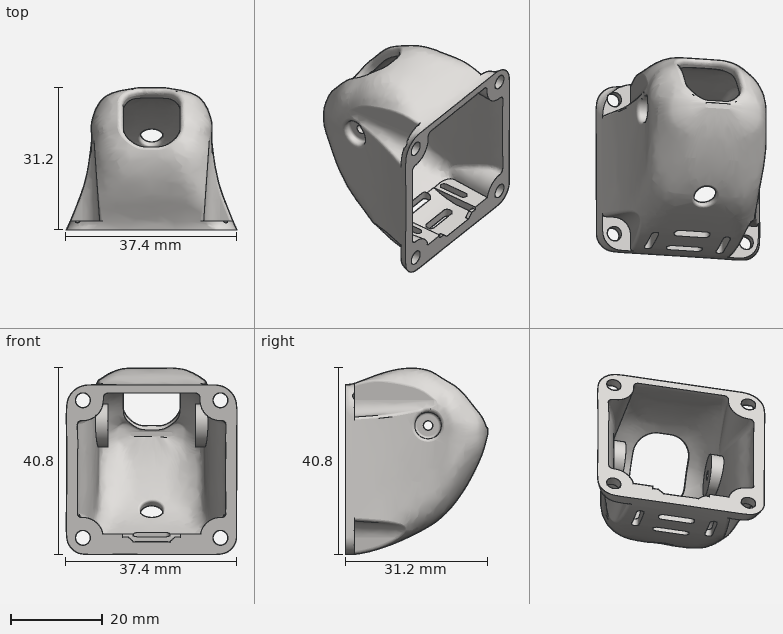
import cadquery as cq
import math

flange_half_width = 18.6
flange_bottom = 0.1
flange_height = 37.13
flange_thickness = 2.0
screw_spacing = 30.03
screw_diameter = 3.2
screw_x = screw_spacing / 2
mid_height = 18.73

shell_reach = 44.9
wall = 1.55
roof_extra_wall = 0.25
side_opening_half_width = 16.15
shelf_height = 4.55

hood_sections = [
    (0, flange_half_width, flange_bottom, flange_height, 4.1, 4.9),
    (flange_thickness, 17.7, 0.1, 37.4, 4.1, 7.35),
    (5.7, 16.2, 0.8, 38.85, 4.5, 8.15),
    (10.6, 14.52, 2.45, 40.35, 4.9, 8.98),
    (15.5, 13.6, 4.7, 40.75, 5.7, 8.98),
    (20.4, 13.1, 7.65, 39.37, 6.95, 8.98),
    (24.5, 12.9, 12.05, 37.13, 9.4, 8.98),
    (27.35, 11.75, 16.52, 34.25, 8.55, 8.15),
    (29.38, 9.8, 20.73, 31, 4.9, 4.5),
    (30.6, 6.1, 24.28, 28.55, 2.05, 1.85),
    (31.15, 2.85, 26.3, 27.55, 0.4, 0.4),
]
cavity_section_count = 10
cavity_least_radius = 0.4

corner_steps = 4
side_steps = 5

channel_radius_front = 3.8
channel_radius_back = 2.2
channel_wall = 0.65
channel_end = 22.85
channel_reach = 16.3
channel_rim = 0.65
channel_boss_fillet = 1.05
channel_edge_x = 11.55
boss_edge_x = 10.2

pivot_y = 18.07
pivot_z = 28.25
pivot_hole_diameter = 2.0
pivot_recess_diameter = 5.8
pivot_boss_diameter = 9.4
pivot_boss_face = 9.55
pivot_recess_floor = 11.2
pivot_rim_reach = 3.25
pivot_rim_inner = 12.65
pivot_cut_end = 20.4
pivot_rim_fillet = 0.75
pivot_floor_fillet = 0.57

window_width = 12.4
window_length = 15.9
window_corner = 4.9
window_y = 24.3
window_z = 34.03
window_tilt = 45
window_depth = 10.2
window_rim = 0.95
window_rim_margin = 0.4
window_rim_front = 16.3
window_rim_back = 31
window_rim_low = 27.35

drain_diameter = 4.98
drain_y = 21.2
drain_z = 8.9
drain_rim = 0.5
drain_reach = 3.25
drain_cut = 4.9

recess_half_width = 6.32
recess_floor = 2.77
recess_top = shelf_height + 1.22
recess_flat_end = 5.3
recess_mid_y = 8.55
recess_mid_height = 3.43
recess_end = 11.42
lip_depth = 0.8
lip_floor_half_width = 3.88
lip_step_half_width = 5.1
lip_step_height = 3.88
slot_length = 8.08
slot_width = 2.0
cross_slot_depths = (5.1, 11)
side_slot_x = 8.15
side_slot_y = 7.35
side_slot_length = 6.95
side_slot_width = 1.65
slot_cut_height = 8.15


def arc_points(x, z, radius, start_angle):
    """Points along a quarter circle around (x, z)."""
    angles = [math.radians(start_angle + 90 * step / corner_steps) for step in range(corner_steps + 1)]
    return [(x + radius * math.cos(angle), z + radius * math.sin(angle)) for angle in angles]


def between(start, end):
    """Points inside a straight stretch, both ends left out."""
    fractions = [step / side_steps for step in range(1, side_steps)]
    return [tuple(a + (b - a) * f for a, b in zip(start, end)) for f in fractions]


def rounded_section(depth, half_width, bottom, top, bottom_radius, top_radius):
    """Smooth closed wire in the plane Y = depth: a rectangle with rounded corners."""
    low_arc = arc_points(half_width - bottom_radius, bottom + bottom_radius, bottom_radius, -90)
    high_arc = arc_points(half_width - top_radius, top - top_radius, top_radius, 0)
    bottom_middle = (0, bottom)
    top_middle = (0, top)
    right_half = between(bottom_middle, low_arc[0]) + low_arc + between(low_arc[-1], high_arc[0])
    right_half += high_arc + between(high_arc[-1], top_middle)
    left_half = [(-x, z) for x, z in reversed(right_half)]
    points = [bottom_middle] + right_half + [top_middle] + left_half
    plane = cq.Plane(origin=(0, depth, 0), xDir=(1, 0, 0), normal=(0, -1, 0))
    return cq.Workplane(plane).spline(points, periodic=True).wire().val()


def loft(wires):
    return cq.Workplane(cq.Solid.makeLoft(wires))


def make_hood():
    return loft([rounded_section(*section) for section in hood_sections])


def make_cavity():
    depth_scale = 1 - wall / hood_sections[-1][0]
    wires = []
    for depth, half_width, bottom, top, bottom_radius, top_radius in hood_sections[:cavity_section_count]:
        inner = min(half_width - wall, side_opening_half_width)
        inner_b = max(bottom_radius - wall, cavity_least_radius)
        inner_t = max(top_radius - wall, cavity_least_radius)
        inner_top = top - wall - roof_extra_wall
        wires.append(rounded_section(depth * depth_scale, inner, bottom + wall, inner_top, inner_b, inner_t))
    block = cq.Workplane(origin=(0, 0, shelf_height))
    above_shelf = block.box(2 * shell_reach, 2 * shell_reach, shell_reach, centered=(True, True, False))
    return loft(wires).intersect(above_shelf)


def corner_prism(start, extra_radius=0):
    """Tapered prism around the +X, +Z screw axis, open towards the outside corner."""
    taper = (channel_radius_front - channel_radius_back) / channel_end
    wires = []
    for depth in (start, channel_end):
        r = channel_radius_front - taper * depth + extra_radius
        diagonal = r * math.sqrt(0.5)
        plane = cq.Plane(origin=(screw_x, depth, screw_x), xDir=(1, 0, 0), normal=(0, -1, 0))
        wires.append(
            cq.Workplane(plane)
            .moveTo(-r, 0)
            .threePointArc((-diagonal, -diagonal), (0, -r))
            .lineTo(channel_reach, -r)
            .lineTo(channel_reach, channel_reach)
            .lineTo(-r, channel_reach)
            .close()
            .wire()
            .val()
        )
    return loft(wires)


def at_four_corners(prism):
    pair = prism.union(prism.mirror("YZ"))
    return pair.union(pair.mirror("XY")).translate((0, 0, mid_height))


def x_cylinder(diameter, x_start, x_end):
    return (
        cq.Workplane("YZ", origin=(x_start, pivot_y, pivot_z))
        .circle(diameter / 2)
        .extrude(x_end - x_start)
    )


def both_sides(solid):
    return solid.union(solid.mirror("YZ"))


def make_window():
    tilt = math.radians(window_tilt)
    outward = cq.Vector(0, math.sin(tilt), math.cos(tilt))
    plane = cq.Plane(origin=(0, window_y, window_z), xDir=(1, 0, 0), normal=outward)
    block = (
        cq.Workplane(plane)
        .workplane(offset=-window_depth)
        .rect(window_width, window_length)
        .extrude(2 * window_depth)
    )
    return block.edges(cq.selectors.ParallelDirSelector(outward)).fillet(window_corner)


def make_floor_recess():
    pocket = (
        cq.Workplane("YZ", origin=(-recess_half_width, 0, 0))
        .moveTo(lip_depth, recess_top)
        .lineTo(lip_depth, recess_floor)
        .lineTo(recess_flat_end, recess_floor)
        .threePointArc((recess_mid_y, recess_mid_height), (recess_end, shelf_height))
        .lineTo(recess_end, recess_top)
        .close()
        .extrude(2 * recess_half_width)
    )
    lip = (
        cq.Workplane("XZ")
        .moveTo(-recess_half_width, shelf_height)
        .lineTo(-recess_half_width, lip_step_height)
        .lineTo(-lip_step_half_width, lip_step_height)
        .lineTo(-lip_floor_half_width, recess_floor)
        .lineTo(lip_floor_half_width, recess_floor)
        .lineTo(lip_step_half_width, lip_step_height)
        .lineTo(recess_half_width, lip_step_height)
        .lineTo(recess_half_width, shelf_height)
        .close()
        .extrude(-lip_depth)
    )
    return pocket.union(lip)


def make_tie_slots():
    cross = cq.Workplane().pushPoints([(0, y) for y in cross_slot_depths])
    cross = cross.slot2D(slot_length, slot_width).extrude(slot_cut_height)
    side = cq.Workplane().pushPoints([(x, side_slot_y) for x in (-side_slot_x, side_slot_x)])
    side = side.slot2D(side_slot_length, side_slot_width, 90).extrude(slot_cut_height)
    return cross.union(side)


def curved_edges(solid, low, high):
    """Curved edges lying completely inside the box from low to high."""
    box = cq.selectors.BoxSelector(low, high, boundingbox=True)
    return solid.edges(box).edges("%BSPLINE")


def corner_edges(solid, inner_x, front_y):
    """Curved edges centred outside inner_x on both sides, between front_y and the channel ends."""
    right = cq.selectors.BoxSelector((inner_x, front_y, -shell_reach), (shell_reach, channel_end, shell_reach))
    left = cq.selectors.BoxSelector((-inner_x, front_y, -shell_reach), (-shell_reach, channel_end, shell_reach))
    return solid.edges(right + left).edges("%BSPLINE")


def add_pivot_recesses(hood):
    recess = x_cylinder(pivot_recess_diameter, pivot_recess_floor, pivot_cut_end)
    recess = recess.faces("<X").edges().fillet(pivot_floor_fillet)
    hood = hood.cut(both_sides(recess))
    low_y, high_y = pivot_y - pivot_rim_reach, pivot_y + pivot_rim_reach
    low_z, high_z = pivot_z - pivot_rim_reach, pivot_z + pivot_rim_reach
    for x_start, x_end in ((pivot_rim_inner, pivot_cut_end), (-pivot_cut_end, -pivot_rim_inner)):
        rim = curved_edges(hood, (x_start, low_y, low_z), (x_end, high_y, high_z))
        hood = rim.fillet(pivot_rim_fillet)
    return hood


def add_channels(hood):
    hood = hood.cut(at_four_corners(corner_prism(flange_thickness)))
    return corner_edges(hood, channel_edge_x, flange_thickness + 0.4).fillet(channel_rim)


def add_window_rim(hood):
    half_width = window_width / 2 + window_rim_margin
    hood = hood.cut(make_window())
    low = (-half_width, window_rim_front, window_rim_low)
    high = (half_width, window_rim_back, shell_reach)
    rim = curved_edges(hood, low, high)
    return rim.fillet(window_rim)


def make_interior():
    interior = make_cavity().cut(at_four_corners(corner_prism(-0.4, channel_wall)))
    interior = corner_edges(interior, boss_edge_x, 0.4).fillet(channel_boss_fillet)
    return interior.cut(both_sides(x_cylinder(pivot_boss_diameter, pivot_boss_face, pivot_cut_end)))


def add_drain(shell):
    plane = cq.Plane(origin=(0, drain_y, drain_z), xDir=(1, 0, 0), normal=(0, 1, -1))
    shell = shell.cut(cq.Workplane(plane).circle(drain_diameter / 2).extrude(drain_cut, both=True))
    low = (-drain_reach, drain_y - drain_reach, drain_z - drain_reach)
    high = (drain_reach, drain_y + drain_reach, drain_z + drain_reach)
    return curved_edges(shell, low, high).fillet(drain_rim)


def make_screw_holes():
    centers = cq.Workplane("XZ", origin=(0, 0, mid_height)).rect(screw_spacing, screw_spacing, forConstruction=True)
    return centers.vertices().circle(screw_diameter / 2).extrude(-flange_thickness - 0.4)


hood = add_pivot_recesses(make_hood())
hood = add_channels(hood)
hood = add_window_rim(hood)
shell = hood.cut(make_interior())
shell = shell.cut(x_cylinder(pivot_hole_diameter, -pivot_cut_end, pivot_cut_end))
shell = add_drain(shell)
shell = shell.cut(make_floor_recess().union(make_tie_slots())).cut(make_screw_holes())
result = cq.Workplane(shell.solids().val())